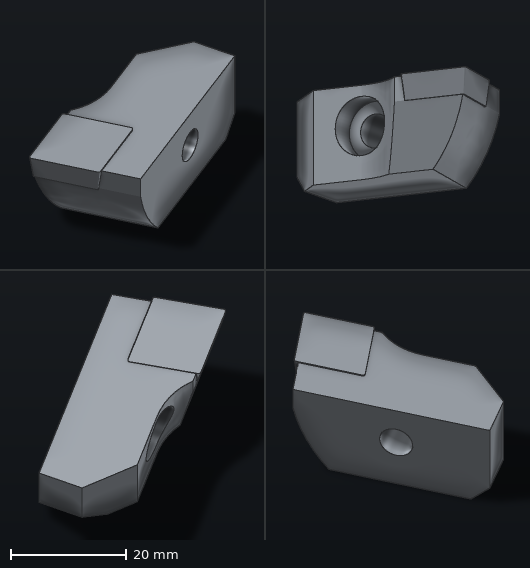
import cadquery as cq
import math


overall_width = 19.7
overall_length = 40.0
overall_height = 17.0
lead_angle = math.radians(10)
clearance_angle = math.radians(7)
lead_slope = math.tan(lead_angle)
clearance_slope = math.tan(clearance_angle)

insert_width = 12.7
insert_thickness = 4.7
corner_radius = 0.4
bottom_corner_radius = 0.05
insert_floor = overall_height - insert_thickness

holder_height = 16.75
shank_width = 15.45
rear_end_width = 8.0
rear_corner_cut = shank_width - rear_end_width
rear_bottom_chamfer = 3.45
head_width = 18.95
front_end = 35.85
neck_start = 17.05
neck_radius = 12.0
neck_depth = 3.1

side_relief_angle = math.radians(7.5)
relief_top = 12.55
relief_setback = 6.6
relief_bulge = 0.9

hole_height = 9.5
hole_diameter = 6.0
counterbore_diameter = 10.5
counterbore_depth = 5.0


def rhombus_sketch(inset, radius):
    """Insert outline moved inwards by inset, with rounded corners."""
    left = -overall_width + inset
    right = -overall_width + insert_width - inset
    rounding_loss = corner_radius * (lead_slope + 1 / math.cos(lead_angle) - 1)
    front_corner = -overall_length - rounding_loss
    edge_length = insert_width / math.cos(lead_angle)
    edge_shift = inset / math.cos(lead_angle)

    def front_y(x):
        return front_corner + edge_shift + (x + overall_width) * lead_slope

    def rear_y(x):
        return front_corner + edge_length - edge_shift + (x + overall_width) * lead_slope

    corners = [
        (left, front_y(left)),
        (right, front_y(right)),
        (right, rear_y(right)),
        (left, rear_y(left)),
    ]
    return cq.Sketch().polygon(corners + corners[:1]).vertices().fillet(radius)


def make_insert():
    bottom = rhombus_sketch(insert_thickness * clearance_slope, bottom_corner_radius)
    top = rhombus_sketch(0, corner_radius)
    top = top.moved(cq.Location(cq.Vector(0, 0, insert_thickness)))
    return cq.Workplane("XY").workplane(offset=insert_floor).placeSketch(bottom, top).loft(ruled=True)


def holder_blank():
    """Plan outline of the holder, extruded to its full height."""
    neck_angle = math.acos(1 - neck_depth / neck_radius)
    half_angle = neck_angle / 2

    def neck_point(angle):
        x = -shank_width - neck_radius * (1 - math.cos(angle))
        return x, -neck_start - neck_radius * math.sin(angle)

    neck_end_x, neck_end_y = neck_point(neck_angle)
    shoulder_y = neck_end_y - (head_width + neck_end_x) / math.tan(neck_angle)
    return (
        cq.Workplane("XY")
        .moveTo(0, 0)
        .lineTo(-rear_end_width, 0)
        .lineTo(-shank_width, -rear_corner_cut)
        .lineTo(-shank_width, -neck_start)
        .threePointArc(neck_point(half_angle), (neck_end_x, neck_end_y))
        .lineTo(-head_width, shoulder_y)
        .lineTo(-head_width, -front_end - head_width * lead_slope)
        .lineTo(0, -front_end)
        .close()
        .extrude(holder_height)
    )


def side_relief():
    """Wedge removed from the side of the head, below the insert."""
    return (
        cq.Workplane("XZ")
        .moveTo(-head_width, insert_floor)
        .lineTo(-head_width + insert_floor * math.tan(side_relief_angle), 0)
        .lineTo(-head_width, 0)
        .close()
        .extrude(overall_length)
    )


def front_relief():
    """Curved stock removed under the front end, swept parallel to the slanted front."""
    sweep_length = overall_width
    sweep_drop = sweep_length * lead_slope
    chord_length = math.hypot(relief_setback, relief_top)
    arc_middle = (
        -front_end + relief_setback / 2 - relief_bulge * relief_top / chord_length,
        relief_top / 2 - relief_bulge * relief_setback / chord_length,
    )
    profile = (
        cq.Workplane("YZ")
        .moveTo(-front_end, relief_top)
        .threePointArc(arc_middle, (-front_end + relief_setback, 0))
        .lineTo(-front_end, 0)
        .close()
    )
    path = cq.Workplane("XY").lineTo(-sweep_length, -sweep_drop)
    return profile.sweep(path)


def rear_chamfer():
    """Triangular prism removed along the lower rear edge."""
    return (
        cq.Workplane("YZ")
        .lineTo(-rear_bottom_chamfer, 0)
        .lineTo(0, rear_bottom_chamfer)
        .close()
        .extrude(-overall_width)
    )


def screw_hole():
    """Counterbored hole through the shank, opening to the -X side."""
    axis = cq.Workplane("YZ").center(-neck_start, hole_height)
    bore = axis.circle(hole_diameter / 2).extrude(-overall_width)
    counterbore = (
        axis.workplane(offset=-shank_width + counterbore_depth)
        .circle(counterbore_diameter / 2)
        .extrude(-overall_width)
    )
    return bore.union(counterbore)


def make_holder(insert):
    holder = holder_blank()
    for removed in (side_relief(), front_relief(), rear_chamfer(), screw_hole()):
        holder = holder.cut(removed)
    return holder.cut(insert)


insert = make_insert()
holder = make_holder(insert)

result = cq.Compound.makeCompound([holder.solids().val(), insert.val()])